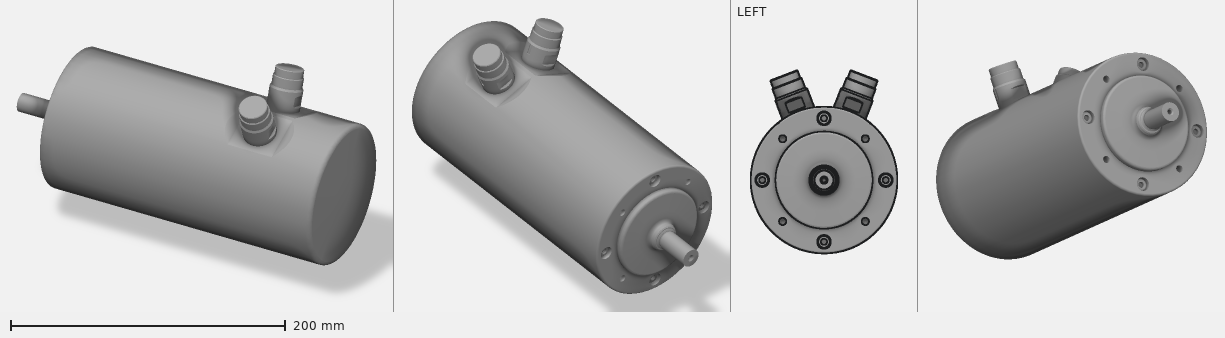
import cadquery as cq
import math

overall_length = 266.0
body_radius = 53.5
front_face_x = 42.5
front_edge_fillet = 1.5
rear_dome_height = 1.3
rear_edge_fillet = 3.2

spigot_radius = 35.5
spigot_front_x = 37.2
spigot_edge_fillet = 1.9
cone_top_x = 36.0

boss_radius = 10.77
boss_face_radius = 9.98
boss_shoulder_x = 32.5
boss_face_x = 29.8
boss_face_chamfer = 0.8
boss_root_fillet = 3.0

seal_radius = 8.5
seal_front_x = 28.7
shaft_radius = 7.05
shaft_neck_radius = 6.78
shaft_shoulder_x = 27.5

center_hole_diameter = 3.5
center_hole_mouth_diameter = 5.3
center_hole_depth = 10.6

mounting_circle_radius = 42.5
mounting_hole_diameter = 5.3
mounting_hole_depth = 10.6
screw_circle_radius = 45.0
counterbore_diameter = 10.0
counterbore_depth = 4.0
screw_head_diameter = 8.5
screw_head_height = 1.3
screw_head_fillet = 0.5
screw_socket_diameter = 4.5
screw_socket_depth = 2.7
drill_point_angle = 118.0

connector_tilt = 21.0
connector_x = 205.4
flat_height = 50.5
flat_length = 36.2
flat_ramp_angle = 20.0

connector_radius = 12.5
collar_top_height = 66.2
sleeve_radius = 11.5
sleeve_bottom_height = 67.8
sleeve_top_height = 75.5
cap_radius = 10.6
cap_chamfer = 0.5
sleeve_chamfer = 0.5
connector_top_height = 81.7
wrench_flat_bottom = 54.8
wrench_flat_top = 62.2
wrench_flat_spacing = 21.5
wrench_flat_ramp = 1.0
key_slot_width = 2.7
key_slot_length = 8.0
key_slot_depth = 0.8
key_slot_top = collar_top_height


def drill(x, y, z, diameter, depth):
    """Blind drill along +X with a conical point, starting at (x, y, z)."""
    radius = diameter / 2
    point = radius / math.tan(math.radians(drill_point_angle / 2))
    profile = (
        cq.Workplane("XY")
        .polyline([(0, 0), (0, radius), (depth, radius), (depth + point, 0)])
        .close()
    )
    return profile.revolve(360, (0, 0, 0), (1, 0, 0)).translate((x, y, z))


def cylinder_x(x, y, z, diameter, length):
    """Cylinder along +X, starting at (x, y, z)."""
    return cq.Workplane("YZ", origin=(x, y, z)).circle(diameter / 2).extrude(length)


def circle_points(radius, start_angle):
    """Four evenly spaced (y, z) places on a circle around the motor axis."""
    angles = [math.radians(start_angle + 90 * i) for i in range(4)]
    return [(radius * math.cos(a), radius * math.sin(a)) for a in angles]


def rim_selector(x, radius):
    """Selects only the round edge of the given radius around the motor axis at x."""
    margin = 0.3
    outer = radius + margin
    inner = radius - margin
    all_edges = cq.selectors.BoxSelector(
        (x - margin, -outer, -outer), (x + margin, outer, outer), boundingbox=True
    )
    smaller_edges = cq.selectors.BoxSelector(
        (x - margin, -inner, -inner), (x + margin, inner, inner), boundingbox=True
    )
    return all_edges - smaller_edges


def motor_blank():
    """Shaft, boss, spigot and housing as one turned shape."""
    fillet_radius = boss_radius + boss_root_fillet
    fillet_start_x = cone_top_x - boss_root_fillet
    fillet_middle = boss_root_fillet * math.sqrt(0.5)
    rear_rim_x = overall_length - rear_dome_height
    profile = (
        cq.Workplane("XY")
        .moveTo(0, 0)
        .lineTo(0, shaft_radius)
        .lineTo(shaft_shoulder_x, shaft_radius)
        .lineTo(shaft_shoulder_x, shaft_neck_radius)
        .lineTo(seal_front_x, shaft_neck_radius)
        .lineTo(seal_front_x, shaft_radius)
        .lineTo(boss_face_x, seal_radius)
        .lineTo(boss_face_x, boss_face_radius - boss_face_chamfer)
        .lineTo(boss_face_x + boss_face_chamfer, boss_face_radius)
        .lineTo(boss_shoulder_x, boss_radius)
        .lineTo(fillet_start_x, boss_radius)
        .threePointArc(
            (fillet_start_x + fillet_middle, fillet_radius - fillet_middle),
            (cone_top_x, fillet_radius),
        )
        .lineTo(spigot_front_x, spigot_radius)
        .lineTo(front_face_x, spigot_radius)
        .lineTo(front_face_x, body_radius)
        .lineTo(rear_rim_x, body_radius)
        .lineTo(overall_length, 0)
        .close()
    )
    blank = profile.revolve(360, (0, 0, 0), (1, 0, 0))
    rims = [
        (rear_rim_x, body_radius, rear_edge_fillet),
        (front_face_x, body_radius, front_edge_fillet),
        (spigot_front_x, spigot_radius, spigot_edge_fillet),
    ]
    for rim_x, rim_radius, fillet_size in rims:
        blank = blank.edges(rim_selector(rim_x, rim_radius)).fillet(fillet_size)
    return blank


def cut_center_hole(motor):
    """Countersunk center hole in the shaft tip."""
    mouth_radius = center_hole_mouth_diameter / 2
    countersink = (
        cq.Workplane("XY")
        .polyline([(0, 0), (0, mouth_radius), (mouth_radius, 0)])
        .close()
        .revolve(360, (0, 0, 0), (1, 0, 0))
    )
    return motor.cut(drill(0, 0, 0, center_hole_diameter, center_hole_depth)).cut(countersink)


def cut_mounting_holes(motor):
    """Four blind holes in the front face."""
    for y, z in circle_points(mounting_circle_radius, 45):
        motor = motor.cut(drill(front_face_x, y, z, mounting_hole_diameter, mounting_hole_depth))
    return motor


def cut_screw_recesses(motor):
    """Four counterbores, each with a socket screw head at its bottom."""
    floor_x = front_face_x + counterbore_depth
    head_x = floor_x - screw_head_height
    for y, z in circle_points(screw_circle_radius, 0):
        counterbore = cylinder_x(front_face_x, y, z, counterbore_diameter, counterbore_depth)
        head = cylinder_x(head_x, y, z, screw_head_diameter, screw_head_height)
        head = head.faces("<X").edges().fillet(screw_head_fillet)
        socket = cylinder_x(head_x, y, z, screw_socket_diameter, screw_socket_depth)
        motor = motor.cut(counterbore.cut(head)).cut(socket)
    return motor


def tilted(shape, side):
    """Lean an upright shape toward +Y (side = 1) or -Y (side = -1)."""
    return shape.rotate((0, 0, 0), (1, 0, 0), -side * connector_tilt)


def cut_connector_flats(motor):
    """Two flats with ramped ends, one below each connector."""
    half_length = flat_length / 2
    cut_height = 2 * (body_radius - flat_height)
    ramp_length = cut_height / math.tan(math.radians(flat_ramp_angle))
    cutter = (
        cq.Workplane("XZ", origin=(connector_x, 0, flat_height))
        .polyline(
            [
                (-half_length, 0),
                (half_length, 0),
                (half_length + ramp_length, cut_height),
                (-half_length - ramp_length, cut_height),
            ]
        )
        .close()
        .extrude(body_radius / 2, both=True)
    )
    for side in (1, -1):
        motor = motor.cut(tilted(cutter, side))
    return motor


def make_motor():
    """Turned motor with all its holes, recesses and connector flats."""
    motor = motor_blank()
    motor = cut_center_hole(motor)
    motor = cut_mounting_holes(motor)
    motor = cut_screw_recesses(motor)
    return cut_connector_flats(motor)


def wrench_flat_cutter(end):
    """Prism with ramped ends for the wrench flat facing +X (end = 1) or -X (end = -1)."""
    inner_x = end * wrench_flat_spacing / 2
    outer_x = end * connector_radius
    return (
        cq.Workplane("XZ")
        .polyline(
            [
                (inner_x, wrench_flat_bottom),
                (inner_x, wrench_flat_top),
                (outer_x, wrench_flat_top + wrench_flat_ramp),
                (outer_x, wrench_flat_bottom - wrench_flat_ramp),
            ]
        )
        .close()
        .extrude(connector_radius, both=True)
    )


def make_connector(side):
    """Stepped round connector that stands on its flat of the housing."""
    connector = (
        cq.Workplane("XZ")
        .polyline(
            [
                (0, flat_height),
                (connector_radius, flat_height),
                (connector_radius, collar_top_height),
                (sleeve_radius, sleeve_bottom_height),
                (sleeve_radius, sleeve_top_height - sleeve_chamfer),
                (sleeve_radius - sleeve_chamfer, sleeve_top_height),
                (cap_radius, sleeve_top_height),
                (cap_radius, connector_top_height - cap_chamfer),
                (cap_radius - cap_chamfer, connector_top_height),
                (0, connector_top_height),
            ]
        )
        .close()
        .revolve(360, (0, 0, 0), (0, 1, 0))
    )
    for end in (1, -1):
        connector = connector.cut(wrench_flat_cutter(end))
    key_slot = (
        cq.Workplane("XY")
        .box(key_slot_width, 2 * key_slot_depth, key_slot_length)
        .translate((0, connector_radius, key_slot_top - key_slot_length / 2))
    )
    connector = connector.cut(key_slot)
    return tilted(connector.translate((connector_x, 0, 0)), side)


motor = make_motor()
connectors = [make_connector(side) for side in (1, -1)]

result = cq.Compound.makeCompound([motor.val(), *[connector.val() for connector in connectors]])